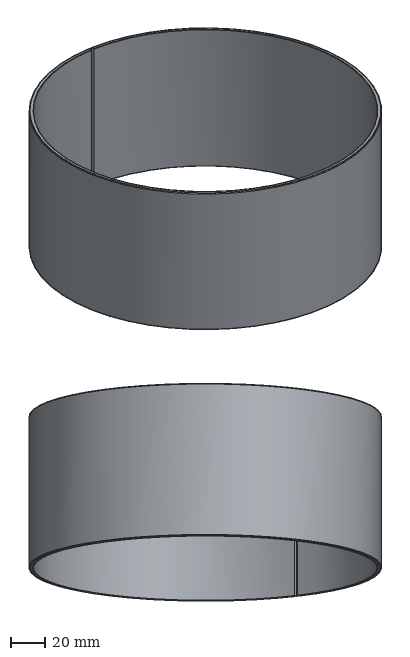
import cadquery as cq

outer_diameter = 205.0
wall_thickness = 2.5
height = 90.0
outer_chamfer = 0.5
inner_chamfer = 0.2
slit_angle = 1.0

outer_radius = outer_diameter / 2
inner_radius = outer_radius - wall_thickness
sweep_angle = 360 - slit_angle


def make_wall_section():
    """Chamfered wall cross-section in the XZ plane, on the -X side of the Z axis."""
    return (
        cq.Workplane("XZ")
        .moveTo(-inner_radius - inner_chamfer, 0)
        .lineTo(-outer_radius + outer_chamfer, 0)
        .lineTo(-outer_radius, outer_chamfer)
        .lineTo(-outer_radius, height - outer_chamfer)
        .lineTo(-outer_radius + outer_chamfer, height)
        .lineTo(-inner_radius - inner_chamfer, height)
        .lineTo(-inner_radius, height - inner_chamfer)
        .lineTo(-inner_radius, inner_chamfer)
        .close()
    )


def make_split_ring():
    """Turn the section about Z from -X through -Y, leaving the slit open."""
    axis_start = (0, 0, 0)
    axis_end = (0, 1, 0)
    return make_wall_section().revolve(sweep_angle, axis_start, axis_end)


result = make_split_ring()